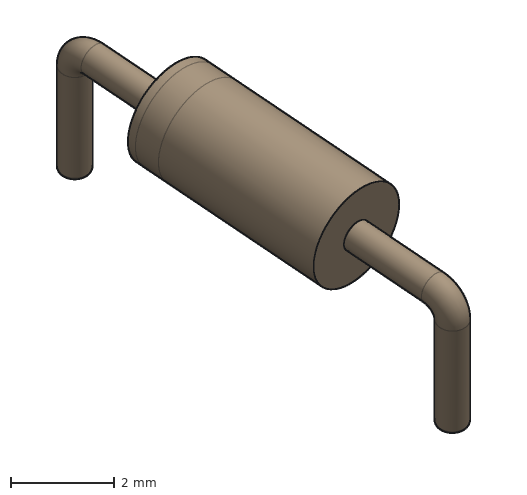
import cadquery as cq

body_diameter = 2.4
body_length = 5.0
band_offset = 0.2
band_width = 0.62

lead_diameter = 0.7
lead_pitch = 10.16
bend_radius = 0.5
tip_rounding = 0.1
overall_height = 4.53

lead_radius = lead_diameter / 2
leg_x = lead_pitch / 2
tip_z = body_diameter / 2 - overall_height


def make_body():
    """Stack end cap, band and sleeve at one diameter, so the band shows only as two face borders."""
    sleeve_length = body_length - band_offset - band_width
    body = cq.Workplane("YZ", origin=(-body_length / 2, 0, 0))
    for segment_length in (band_offset, band_width, sleeve_length):
        body = body.circle(body_diameter / 2).extrude(segment_length, clean=False)
        body = body.faces(">X").workplane()
    return body


def make_lead():
    """Sweep the wire section along the bent centreline and round both tips."""
    bend_start_x = leg_x - bend_radius
    path = (
        cq.Workplane("XZ")
        .moveTo(-leg_x, tip_z)
        .lineTo(-leg_x, -bend_radius)
        .radiusArc((-bend_start_x, 0), bend_radius)
        .lineTo(bend_start_x, 0)
        .radiusArc((leg_x, -bend_radius), bend_radius)
        .lineTo(leg_x, tip_z)
    )
    section = cq.Workplane("XY", origin=(-leg_x, 0, tip_z)).circle(lead_radius)
    return section.sweep(path).faces("<Z").edges().fillet(tip_rounding)


result = make_body().union(make_lead(), clean=False)